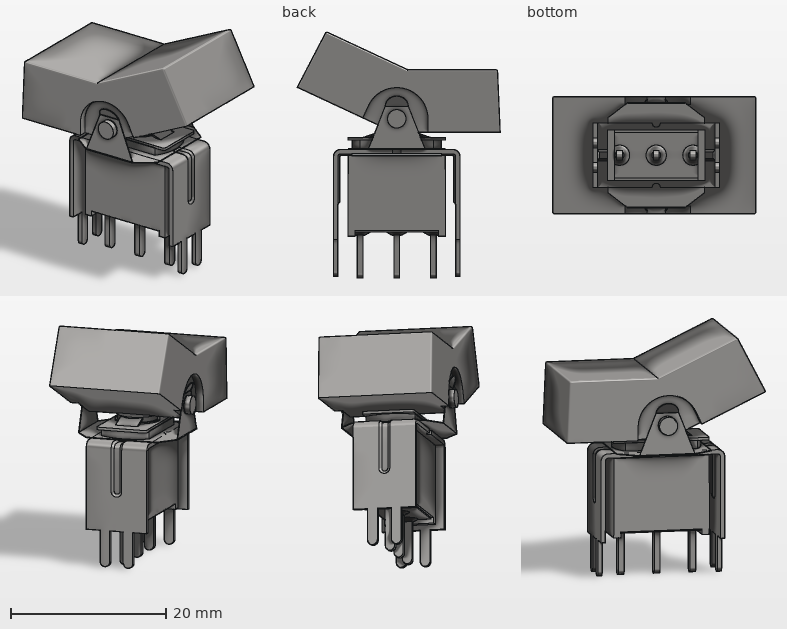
import cadquery as cq
import math


pivot_z = 3.93
rocker_width = 15.1
rocker_tilt = 12.5
rocker_bottom_z = 2.2
rocker_top_z = 10.25
rocker_end_bottom_x = -13.35
rocker_end_top_x = -13.0
rocker_edge_radius = 0.25
hub_recess_radius = 4.02
hub_recess_depth = 1.0
pin_diameter = 2.38

ear_sheet = 0.1
ear_span = 13.55
ear_base_width = 7.35
ear_top_width = 2.98
ear_top_z = 5.55
ear_tab_flare = 26
plate_length = 12.48
plate_corner_width = 1.95

flange_length = 12.6
flange_width = 6.78
flange_bottom_z = 1.17
flange_thickness = 0.35
flange_corner_radius = 0.38
neck_diameter = 11.5
neck_width = 6.53
bushing_diameter = 5.2
bushing_foot_diameter = 5.83
bushing_foot_height = 0.15
leaf_length = 8.75
leaf_width = 2.98
leaf_top_z = 2.3
leaf_slope = 19
leaf_height = 0.25

bracket_length = 16.3
bracket_width = 8.27
bracket_sheet = 0.57
bend_radius = 0.95
leg_bottom_z = -11.63
prong_tip_z = -16.38
prong_width = 1.3
prong_spacing = 3.17
notch_diameter = 1.05
groove_depth = 0.25
groove_width = 1.45
groove_floor_width = 0.8
groove_end_x = 5.75
groove_tip_z = -7.1

case_length = 12.6
case_top_length = 12.55
case_width = 6.53
case_top_z = -(bracket_sheet + groove_depth)
case_bottom_z = -11.2
case_recess_length = 10.7
case_recess_z = -10.5
seal_width = 5.9
seal_thickness = 0.2
terminal_pitch = 4.72
terminal_thickness = 0.75
terminal_width = 1.25
terminal_tip_z = -16.6
bead_radius = 1.65
bead_tip_radius = 0.57
bead_height = 0.6


def block(x_size, y_size, z_low, z_high):
    return cq.Workplane("XY").workplane(offset=z_low).rect(x_size, y_size).extrude(z_high - z_low)


def both_ends(part):
    """The part together with its copy turned half a turn about Z."""
    return part.union(part.rotate((0, 0, 0), (0, 0, 1), 180))


def mirrored_arm_point(point):
    """Mirrors an (x, z) point in the tilted symmetry plane through the rocker pivot."""
    angle = math.radians(2 * rocker_tilt)
    x = point[0]
    z = point[1] - pivot_z
    return (
        -x * math.cos(angle) - z * math.sin(angle),
        pivot_z - x * math.sin(angle) + z * math.cos(angle),
    )


def symmetry_plane_point(z):
    """The point of the rocker's tilted symmetry plane at height z."""
    return (-(z - pivot_z) * math.tan(math.radians(rocker_tilt)), z)


def rocker():
    end_bottom = (rocker_end_bottom_x, rocker_bottom_z)
    end_top = (rocker_end_top_x, rocker_top_z)
    outline = [
        symmetry_plane_point(rocker_bottom_z),
        end_bottom,
        end_top,
        symmetry_plane_point(rocker_top_z),
        mirrored_arm_point(end_top),
        mirrored_arm_point(end_bottom),
    ]
    body = cq.Workplane("XZ").polyline(outline).close().extrude(rocker_width / 2, both=True)
    upper_corners = [end_top, symmetry_plane_point(rocker_top_z), mirrored_arm_point(end_top)]
    ends = [(end_bottom, end_top), (mirrored_arm_point(end_bottom), mirrored_arm_point(end_top))]
    rounded = list(zip(upper_corners, upper_corners[1:])) + ends
    edge_middles = [
        ((a[0] + b[0]) / 2, side * rocker_width / 2, (a[1] + b[1]) / 2)
        for a, b in rounded
        for side in (-1, 1)
    ]
    edge_middles += [(x, 0, z) for x, z in (end_top, mirrored_arm_point(end_top))]
    edges = [body.edges(cq.selectors.NearestToPointSelector(middle)).val() for middle in edge_middles]
    body = body.newObject(edges).fillet(rocker_edge_radius)
    for side in (-1, 1):
        body = body.cut(hub_recess(side))
    return body


def hub_recess(side):
    """Side pocket around the pivot: a round top with walls square to each arm's underside."""
    angle = math.radians(2 * rocker_tilt)
    reach = 2 * hub_recess_radius
    left_start = (-hub_recess_radius, pivot_z)
    right_start = (hub_recess_radius * math.cos(angle), pivot_z + hub_recess_radius * math.sin(angle))
    crown = (
        -hub_recess_radius * math.sin(angle / 2),
        pivot_z + hub_recess_radius * math.cos(angle / 2),
    )
    right_end = (right_start[0] + reach * math.sin(angle), right_start[1] - reach * math.cos(angle))
    return (
        cq.Workplane("XZ", origin=(0, side * rocker_width / 2, 0))
        .moveTo(*left_start)
        .threePointArc(crown, right_start)
        .lineTo(*right_end)
        .lineTo(-hub_recess_radius, pivot_z - reach)
        .close()
        .extrude(side * hub_recess_depth)
    )


def ear():
    """Tapered upright sheet at -Y with an outward-flared round tip and its pivot pin."""
    inner_y = -ear_span / 2 + ear_sheet
    upright = (
        cq.Workplane("XZ", origin=(0, inner_y, 0))
        .polyline([
            (-ear_base_width / 2, 0),
            (ear_base_width / 2, 0),
            (ear_top_width / 2, ear_top_z),
            (-ear_top_width / 2, ear_top_z),
        ])
        .close()
        .extrude(ear_sheet)
    )
    tab = (
        cq.Workplane("XZ", origin=(0, inner_y, ear_top_z))
        .circle(ear_top_width / 2)
        .extrude(ear_sheet)
        .intersect(block(ear_top_width, 2 * ear_span, ear_top_z, ear_top_z + ear_top_width))
        .rotate((0, inner_y, ear_top_z), (1, inner_y, ear_top_z), ear_tab_flare)
    )
    pin = (
        cq.Workplane("XZ", origin=(0, -rocker_width / 2, pivot_z))
        .circle(pin_diameter / 2)
        .extrude(-2 * hub_recess_depth)
    )
    return upright.union(tab).union(pin)


def ear_plate():
    """Sheet on the bracket with sloped corners that narrow it to the width of each ear."""
    shoulder_y = ear_span / 2 - plate_corner_width
    corners = [
        (ear_base_width / 2, -ear_span / 2),
        (plate_length / 2, -shoulder_y),
        (plate_length / 2, shoulder_y),
        (ear_base_width / 2, ear_span / 2),
    ]
    opposite_corners = [(-x, -y) for x, y in corners]
    plate = cq.Workplane("XY").polyline(corners + opposite_corners).close().extrude(ear_sheet)
    return plate.union(both_ends(ear()))


def collar():
    neck = cq.Workplane("XY").circle(neck_diameter / 2).extrude(flange_bottom_z)
    neck = neck.intersect(block(neck_diameter, neck_width, 0, flange_bottom_z))
    flange_top_z = flange_bottom_z + flange_thickness
    flange = block(flange_length, flange_width, flange_bottom_z, flange_top_z)
    return neck.union(flange.edges("|Z").fillet(flange_corner_radius))


def bushing():
    """Round bushing under the rocker, crossed by a leaf that slopes down to the flange at each end."""
    base_z = flange_bottom_z + flange_thickness
    base = cq.Workplane("XY", origin=(0, 0, base_z))
    body = base.circle(bushing_diameter / 2).extrude(leaf_top_z - base_z)
    body = body.union(base.circle(bushing_foot_diameter / 2).extrude(bushing_foot_height))

    slope = math.tan(math.radians(leaf_slope))
    half_length = leaf_length / 2
    roof_half = half_length - (leaf_top_z - base_z) / slope
    inner_half = half_length - leaf_height / slope
    leaf = (
        cq.Workplane("XZ")
        .polyline([
            (-half_length, base_z),
            (-roof_half, leaf_top_z),
            (roof_half, leaf_top_z),
            (half_length, base_z),
            (inner_half, base_z),
            (roof_half, leaf_top_z - leaf_height),
            (-roof_half, leaf_top_z - leaf_height),
            (-inner_half, base_z),
        ])
        .close()
        .extrude(leaf_width / 2, both=True)
    )
    return body.union(leaf)


def groove_solid(top_depth, floor_depth):
    """Trapezoid rib on the -X side between two depths below the sheet's outer face.

    It runs along the top, round the bend and down the leg to a round tip.
    """
    flank = (groove_width - groove_floor_width) / (2 * groove_depth)
    floor_half = groove_floor_width / 2
    top_half = floor_half + flank * (floor_depth - top_depth)
    leg_x = top_depth - bracket_length / 2
    radius = bend_radius - top_depth
    bend_sag = radius * (1 - math.sqrt(0.5))
    tip_center_z = groove_tip_z + groove_width / 2
    path = (
        cq.Workplane("XZ")
        .moveTo(-groove_end_x, -top_depth)
        .lineTo(leg_x + radius, -top_depth)
        .threePointArc((leg_x + bend_sag, -top_depth - bend_sag), (leg_x, -bend_radius))
        .lineTo(leg_x, tip_center_z)
    )
    channel = (
        cq.Workplane("YZ", origin=(-groove_end_x, 0, 0))
        .polyline([
            (-top_half, -top_depth),
            (top_half, -top_depth),
            (floor_half, -floor_depth),
            (-floor_half, -floor_depth),
        ])
        .close()
        .sweep(path)
    )
    tip = cq.Workplane(cq.Solid.makeCone(
        top_half, floor_half, floor_depth - top_depth,
        cq.Vector(leg_x, 0, tip_center_z), cq.Vector(1, 0, 0),
    ))
    return channel.union(tip)


def bracket():
    """Sheet-metal U with a stiffening groove over each bend and two solder prongs per leg."""
    outer = block(bracket_length, bracket_width, leg_bottom_z, 0)
    outer = outer.edges("|Y and >Z").fillet(bend_radius)
    inner = block(bracket_length - 2 * bracket_sheet, bracket_width, leg_bottom_z, -bracket_sheet)
    inner = inner.edges("|Y and >Z").fillet(bend_radius - bracket_sheet)
    body = outer.cut(inner)

    bulge = groove_solid(bracket_sheet / 2, bracket_sheet + groove_depth)
    body = body.union(both_ends(bulge))
    body = body.cut(both_ends(groove_solid(0, groove_depth)))

    notches = (
        cq.Workplane("XY")
        .pushPoints([(0, -bracket_width / 2), (0, bracket_width / 2)])
        .circle(notch_diameter / 2)
        .extrude(-bracket_sheet)
    )
    body = body.cut(notches)

    leg_x = (bracket_length - bracket_sheet) / 2
    for x in (-leg_x, leg_x):
        for y in (-prong_spacing / 2, prong_spacing / 2):
            body = body.union(blade(bracket_sheet, prong_width, leg_bottom_z, prong_tip_z, x, y))
    return body


def blade(thickness, width, top_z, tip_z, x, y):
    """Flat contact with a fully rounded tip, its thickness along X."""
    straight_end_z = tip_z + width / 2
    return (
        cq.Workplane("YZ", origin=(x - thickness / 2, y, 0))
        .moveTo(-width / 2, top_z)
        .lineTo(-width / 2, straight_end_z)
        .threePointArc((0, tip_z), (width / 2, straight_end_z))
        .lineTo(width / 2, top_z)
        .close()
        .extrude(thickness)
    )


def case():
    body = (
        cq.Workplane("XZ")
        .polyline([
            (-case_top_length / 2, case_top_z),
            (case_top_length / 2, case_top_z),
            (case_length / 2, case_bottom_z),
            (-case_length / 2, case_bottom_z),
        ])
        .close()
        .extrude(case_width / 2, both=True)
    )
    return body.cut(block(case_recess_length, case_width, case_bottom_z, case_recess_z))


def terminals():
    """Three contacts in a thin seal, each with a flared bead of sealant at its root."""
    seal = block(case_recess_length, seal_width, case_recess_z - seal_thickness, case_recess_z)
    recess = block(case_recess_length, case_width, case_bottom_z, case_recess_z)
    for x in (-terminal_pitch, 0, terminal_pitch):
        bead = cq.Workplane(cq.Solid.makeCone(
            bead_radius, bead_tip_radius, bead_height,
            cq.Vector(x, 0, case_recess_z), cq.Vector(0, 0, -1),
        ))
        seal = seal.union(bead.intersect(recess))
        seal = seal.union(blade(terminal_thickness, terminal_width, case_recess_z, terminal_tip_z, x, 0))
    return seal


result = rocker()
for component in (ear_plate(), collar(), bushing(), bracket(), case(), terminals()):
    result = result.union(component)